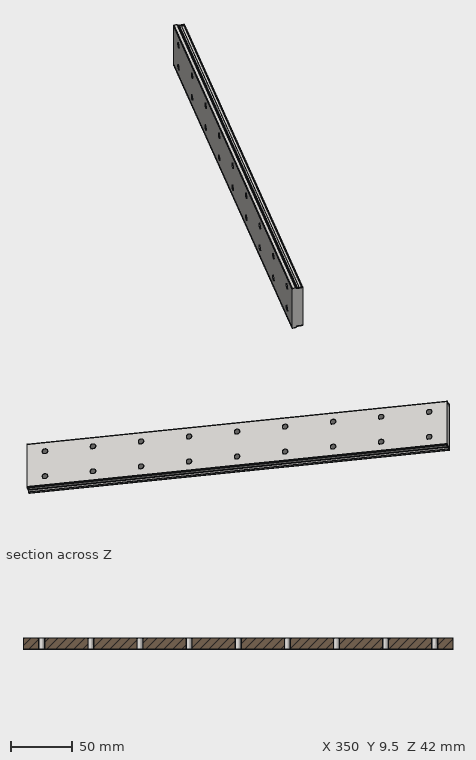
import cadquery as cq

length = 350.0
thickness = 9.5
height = 42.0

edge_chamfer = 0.5
flange_thickness = 3.0
step = 1.0

groove_front = 5.0
groove_width = 3.5
groove_depth = 0.7
groove_end_wall = 1.0

hole_diameter = 4.5
hole_columns = 9
hole_end_margin = 15.0
hole_pitch = (length - 2 * hole_end_margin) / (hole_columns - 1)
hole_rows = 2
hole_edge_margin = 9.5
row_spacing = height - 2 * hole_edge_margin

flange_top = height / 2
body_top = flange_top - step


def make_plate():
    """Extrude the end profile: a tall front flange sloping down to a lower body behind it."""
    upper_edge = [
        (0, flange_top - edge_chamfer),
        (edge_chamfer, flange_top),
        (flange_thickness, flange_top),
        (flange_thickness + step, body_top),
        (thickness - edge_chamfer, body_top),
        (thickness, body_top - edge_chamfer),
    ]
    lower_edge = [(y, -z) for y, z in reversed(upper_edge)]
    profile = cq.Workplane("YZ").polyline(upper_edge + lower_edge).close()
    return profile.extrude(length / 2, both=True)


def make_groove(side):
    """V-shaped cutter for the upper (side = 1) or lower (side = -1) edge of the body."""
    section = [
        (groove_front, side * body_top),
        (groove_front + groove_width, side * body_top),
        (groove_front + groove_width / 2, side * (body_top - groove_depth)),
    ]
    half_length = length / 2 - groove_end_wall
    return cq.Workplane("YZ").polyline(section).close().extrude(half_length, both=True)


def make_holes():
    """Two rows of cylinders running through the plate thickness."""
    return (
        cq.Workplane("XZ")
        .rarray(hole_pitch, row_spacing, hole_columns, hole_rows)
        .circle(hole_diameter / 2)
        .extrude(-thickness)
    )


result = make_plate().cut(make_holes())
for side in (1, -1):
    result = result.cut(make_groove(side))